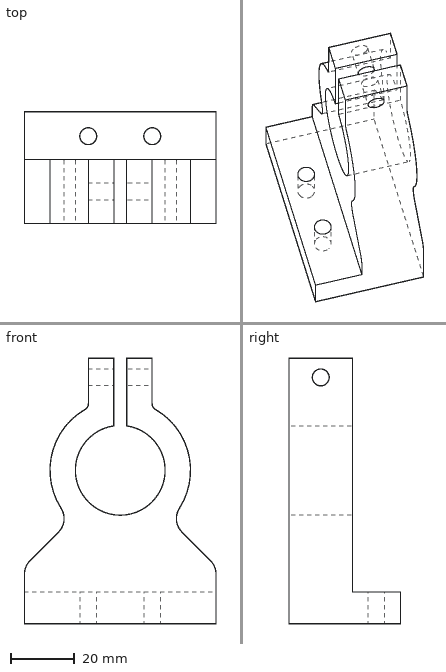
import cadquery as cq
import math

base_width = 59.93
total_height = 83.03
clamp_depth = 20.0
foot_depth = 15.0
foot_thickness = 10.0

bore_radius = 14.0
wall = 8.0
ring_radius = bore_radius + wall
bore_height = 48.0

slot_width = 4.0
ear_half_width = slot_width / 2 + wall

half_base = base_width / 2
shoulder_height = bore_height - half_base

shoulder_fillet = 6.0
waist_fillet = 6.0
ear_fillet = 2.0

hole_diameter = 5.2
clamp_hole_drop = 6.0
foot_hole_spacing = 20.0
foot_hole_setback = 7.7

foot_back = clamp_depth + foot_depth


def mirrored_edges_at(x, z):
    """Selector box round the pair of Y-direction edges at (+x, z) and (-x, z)."""
    reach = 0.1

    def box_round(edge_x):
        return cq.selectors.BoxSelector(
            (edge_x - reach, 0, z - reach),
            (edge_x + reach, clamp_depth, z + reach),
        )

    return box_round(x) + box_round(-x)


def extrude_back(sketch, depth):
    """Extrude an XZ outline from Y = 0 towards +Y."""
    return sketch.extrude(-depth)


def clamp_body():
    """Shouldered pedestal, ring and ears, with their meeting edges rounded."""
    pedestal = extrude_back(
        cq.Workplane("XZ").polyline([
            (-half_base, 0),
            (half_base, 0),
            (half_base, shoulder_height),
            (0, bore_height),
            (-half_base, shoulder_height),
        ]).close(),
        clamp_depth,
    )
    ring = extrude_back(cq.Workplane("XZ").center(0, bore_height).circle(ring_radius), clamp_depth)
    ears = cq.Workplane("XY").workplane(offset=bore_height).center(0, clamp_depth / 2).rect(
        2 * ear_half_width, clamp_depth
    ).extrude(total_height - bore_height)

    waist = ring_radius * math.sin(math.radians(45))
    ear_root = bore_height + math.sqrt(ring_radius**2 - ear_half_width**2)
    body = pedestal.union(ring).union(ears)
    body = body.edges(mirrored_edges_at(half_base, shoulder_height)).fillet(shoulder_fillet)
    body = body.edges(mirrored_edges_at(waist, bore_height - waist)).fillet(waist_fillet)
    return body.edges(mirrored_edges_at(ear_half_width, ear_root)).fillet(ear_fillet)


def foot():
    """Flat mounting foot behind the clamp."""
    return cq.Workplane("XY").box(
        base_width, foot_depth, foot_thickness, centered=(True, False, False)
    ).translate((0, clamp_depth, 0))


def bore_and_slot():
    """Shaft bore with the slot that splits the ring between the ears."""
    bore = extrude_back(cq.Workplane("XZ").center(0, bore_height).circle(bore_radius), clamp_depth)
    slot = cq.Workplane("XY").box(
        slot_width, clamp_depth, total_height - bore_height, centered=(True, False, False)
    ).translate((0, 0, bore_height))
    return bore.union(slot)


def clamp_screw_hole():
    """Hole along X through both ears."""
    hole_height = total_height - clamp_hole_drop
    return cq.Workplane("YZ").center(clamp_depth / 2, hole_height).circle(
        hole_diameter / 2
    ).extrude(ear_half_width, both=True)


def foot_screw_holes():
    """Pair of vertical holes through the foot."""
    hole_y = foot_back - foot_hole_setback
    return cq.Workplane("XY").center(0, hole_y).rarray(foot_hole_spacing, 1, 2, 1).circle(
        hole_diameter / 2
    ).extrude(foot_thickness)


result = (
    clamp_body()
    .union(foot())
    .cut(bore_and_slot())
    .cut(clamp_screw_hole())
    .cut(foot_screw_holes())
)